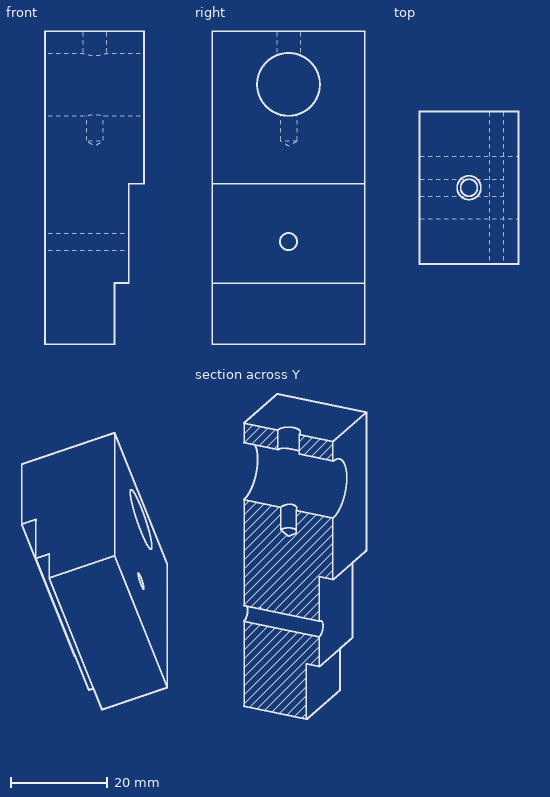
import cadquery as cq
import math

height = 65.1
width = 31.75
depth = 20.65

middle_depth = 17.45
middle_top = 33.3
foot_depth = 14.5
foot_top = 12.7

bore_diameter = 13.0
bore_height = 54.0
pin_diameter = 3.5
pin_height = 21.35

top_hole_diameter = 4.95
lower_hole_diameter = 3.5
lower_hole_depth = 5.2
drill_point_angle = 118.0


def stepped_block():
    """Side profile in XZ, extruded symmetrically along Y."""
    left = -depth / 2
    profile = [
        (left, 0),
        (left + foot_depth, 0),
        (left + foot_depth, foot_top),
        (left + middle_depth, foot_top),
        (left + middle_depth, middle_top),
        (left + depth, middle_top),
        (left + depth, height),
        (left, height),
    ]
    return cq.Workplane("XZ").polyline(profile).close().extrude(width / 2, both=True)


def cross_hole(diameter, z):
    """Through hole along X at height z."""
    return cq.Workplane("YZ").center(0, z).circle(diameter / 2).extrude(depth, both=True)


def vertical_hole():
    """Entry hole down into the bore, then a drilled blind hole below it."""
    floor = bore_height - bore_diameter / 2 - lower_hole_depth
    lower_radius = lower_hole_diameter / 2
    top_radius = top_hole_diameter / 2
    tip = floor - lower_radius / math.tan(math.radians(drill_point_angle / 2))
    half_profile = [
        (0, tip),
        (lower_radius, floor),
        (lower_radius, bore_height),
        (top_radius, bore_height),
        (top_radius, height),
        (0, height),
    ]
    return cq.Workplane("XZ").polyline(half_profile).close().revolve(360, (0, 0), (0, 1))


result = (
    stepped_block()
    .cut(cross_hole(bore_diameter, bore_height))
    .cut(cross_hole(pin_diameter, pin_height))
    .cut(vertical_hole())
)